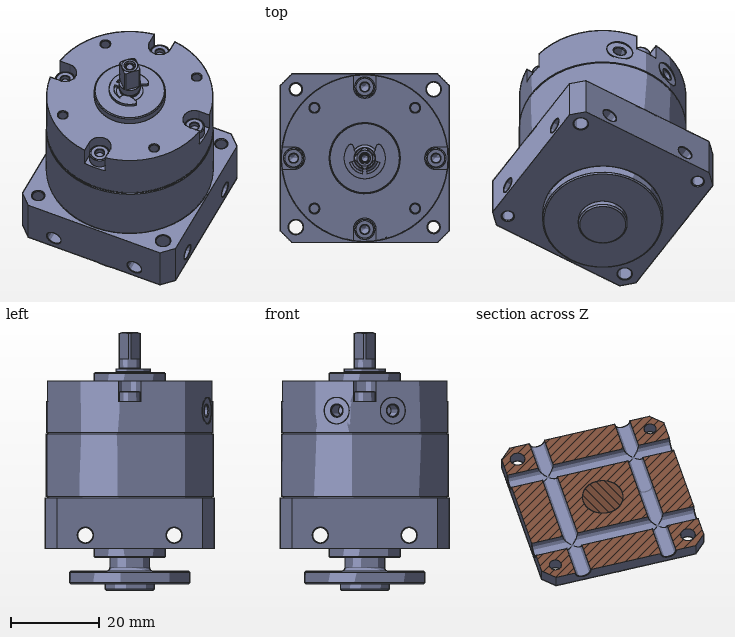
import cadquery as cq
import math

PILOT_TOP_Z = 1.5
FLANGE_TOP_Z = 4.4
LOWER_BOSS_BOTTOM_Z = 7.4
BASE_BOTTOM_Z = 9.45
BASE_TOP_Z = 20.9
BODY_BOTTOM_Z = 21.2
BODY_TOP_Z = 35.2
CAP_BOTTOM_Z = 35.55
CAP_TOP_Z = 47.15
UPPER_BOSS_TOP_Z = 49.0
CLIP_BOTTOM_Z = 49.25
CLIP_TOP_Z = 49.9
NECK_BOTTOM_Z = 50.05
SQUARE_BOTTOM_Z = 52.0
SHAFT_TOP_Z = 58.0

BASE_WIDTH = 38.0
BASE_CORNER_CHAMFER = 2.65
BODY_DIAMETER = 37.6
CAP_DIAMETER = 37.4
GROOVE_DIAMETER = 36.9
BOSS_DIAMETER = 16.0
BOSS_CHAMFER = 0.25

CORNER_HOLE_OFFSET = 15.5
CORNER_CLEARANCE_DIAMETER = 3.2
CORNER_CLEARANCE_MOUTH = 3.5
CORNER_TAPPED_DIAMETER = 2.6
CORNER_TAPPED_MOUTH = 3.0

SIDE_HOLE_OFFSET = 10.0
SIDE_HOLE_HEIGHT = 3.0
SIDE_HOLE_Z = BASE_BOTTOM_Z + SIDE_HOLE_HEIGHT
SIDE_HOLE_DIAMETER = 3.4
SIDE_HOLE_MOUTH = 3.65

CAP_HOLE_CIRCLE_RADIUS = 16.0
CAP_HOLE_DIAMETER = 2.05
CAP_HOLE_MOUTH = 2.45
CAP_HOLE_DEPTH = 5.0
CAP_HOLE_START_ANGLE = 45.0

SLOT_WIDTH = 5.1
SLOT_FLOOR_Z = 42.5
SCREW_CIRCLE_RADIUS = CAP_HOLE_CIRCLE_RADIUS
SCREW_HEAD_DIAMETER = 4.5
SCREW_HEAD_TOP_Z = 44.8
SCREW_HEAD_CHAMFER_WIDTH = 0.3
SCREW_HEAD_CHAMFER_HEIGHT = 0.1
SOCKET_DIAMETER = 2.05
SOCKET_MOUTH = 2.25
SOCKET_DEPTH = 1.15

PORT_ANGLE = 20.0
PORT_Z = 40.5
PORT_FACE_DIAMETER = 6.0
PORT_FACE_RADIUS = 18.4
PORT_DIAMETER = 2.6
PORT_MOUTH = 3.0
PORT_DEPTH = 4.75

PILOT_DIAMETER = 11.0
PILOT_CHAMFER = 0.35
FLANGE_DIAMETER = 27.0
FLANGE_CHAMFER = 0.3
JOURNAL_DIAMETER = 9.0
JOURNAL_FILLET = 0.75
UPPER_JOURNAL_DIAMETER = 6.0
CLIP_GROOVE_DIAMETER = 4.5
SHOULDER_CONE_SLOPE = 30.0
NECK_DIAMETER = 4.8
SQUARE_ACROSS_FLATS = 3.7
SQUARE_ACROSS_CORNERS = NECK_DIAMETER
SQUARE_TURN = 45.0
SQUARE_TOP_DIAMETER = 3.6
SQUARE_TOP_CONE_HEIGHT = 0.25
CENTRE_HOLE_DIAMETER = 2.05
CENTRE_HOLE_MOUTH = 2.55
CENTRE_HOLE_DEPTH = 0.45
CENTRE_TIP_DIAMETER = 1.55
DRILL_TIP_ANGLE = 118.0

CLIP_DIAMETER = 9.3
CLIP_TIP_Y = 3.15
CLIP_MOUTH_HALF_WIDTH = 1.7
CLIP_TIP_HALF_WIDTH = 2.7
CLIP_WINDOW_DIAMETER = 7.1
CLIP_TOOTH_WIDTH = 1.0
CLIP_WINDOW_TOP_ANGLE = 16.0
CLIP_TIP_FILLET = 0.6


def disc(diameter, bottom, top):
    """Cylinder about the Z axis between two heights."""
    return cq.Workplane("XY").workplane(offset=bottom).circle(diameter / 2).extrude(top - bottom)


def drill(diameter, mouth, depth, tip=False):
    """Cutter for a hole down from the origin, with a 45 degree mouth and an optional conical tip."""
    radius = diameter / 2
    mouth_radius = mouth / 2
    tip_depth = radius / math.tan(math.radians(DRILL_TIP_ANGLE / 2)) if tip else 0
    outline = cq.Workplane("XZ").lineTo(mouth_radius, 0)
    if mouth_radius > radius:
        outline = outline.lineTo(radius, radius - mouth_radius)
    outline = outline.lineTo(radius, -depth).lineTo(0, -depth - tip_depth).close()
    return outline.revolve(360, (0, 0, 0), (0, 1, 0))


def double_ended_drill(diameter, mouth, length):
    """Cutter for a through hole down from the origin, with a 45 degree mouth at both ends."""
    top_half = drill(diameter, mouth, length / 2)
    bottom_half = top_half.mirror("XY", (0, 0, -length / 2))
    return top_half.union(bottom_half)


def make_base():
    base = (
        cq.Workplane("XY").workplane(offset=BASE_BOTTOM_Z)
        .rect(BASE_WIDTH, BASE_WIDTH)
        .extrude(BASE_TOP_Z - BASE_BOTTOM_Z)
        .edges("|Z").chamfer(BASE_CORNER_CHAMFER)
    )
    thickness = BASE_TOP_Z - BASE_BOTTOM_Z
    clearance = double_ended_drill(CORNER_CLEARANCE_DIAMETER, CORNER_CLEARANCE_MOUTH, thickness)
    tapped = double_ended_drill(CORNER_TAPPED_DIAMETER, CORNER_TAPPED_MOUTH, thickness)
    for side in (-1, 1):
        offset = side * CORNER_HOLE_OFFSET
        base = base.cut(clearance.translate((offset, offset, BASE_TOP_Z)))
        base = base.cut(tapped.translate((-offset, offset, BASE_TOP_Z)))

    across = double_ended_drill(SIDE_HOLE_DIAMETER, SIDE_HOLE_MOUTH, BASE_WIDTH)
    along_y = across.rotate((0, 0, 0), (1, 0, 0), 90).translate((0, -BASE_WIDTH / 2, SIDE_HOLE_Z))
    for side in (-1, 1):
        hole = along_y.translate((side * SIDE_HOLE_OFFSET, 0, 0))
        base = base.cut(hole)
        base = base.cut(hole.rotate((0, 0, 0), (0, 0, 1), -90))
    return base


def cut_tapped_holes(cap):
    hole = drill(CAP_HOLE_DIAMETER, CAP_HOLE_MOUTH, CAP_HOLE_DEPTH)
    hole = hole.translate((CAP_HOLE_CIRCLE_RADIUS, 0, CAP_TOP_Z))
    for quarter in range(4):
        cap = cap.cut(hole.rotate((0, 0, 0), (0, 0, 1), CAP_HOLE_START_ANGLE + 90 * quarter))
    return cap


def make_screw_slot():
    """Round-ended slot, open at the rim of the cap, on the +X side."""
    depth = CAP_TOP_Z - SLOT_FLOOR_Z
    floor = cq.Workplane("XY").workplane(offset=SLOT_FLOOR_Z)
    round_end = floor.center(SCREW_CIRCLE_RADIUS, 0).circle(SLOT_WIDTH / 2).extrude(depth)
    length = CAP_DIAMETER / 2 - SCREW_CIRCLE_RADIUS + SLOT_WIDTH
    opening = floor.center(SCREW_CIRCLE_RADIUS + length / 2, 0).rect(length, SLOT_WIDTH).extrude(depth)
    return round_end.union(opening)


def make_screw_head():
    head = disc(SCREW_HEAD_DIAMETER, SLOT_FLOOR_Z, SCREW_HEAD_TOP_Z)
    head = head.faces(">Z").edges().chamfer(SCREW_HEAD_CHAMFER_HEIGHT, SCREW_HEAD_CHAMFER_WIDTH)
    socket = drill(SOCKET_DIAMETER, SOCKET_MOUTH, SOCKET_DEPTH, tip=True)
    head = head.cut(socket.translate((0, 0, SCREW_HEAD_TOP_Z)))
    return head.translate((SCREW_CIRCLE_RADIUS, 0, 0))


def add_screws(cap):
    slot = make_screw_slot()
    head = make_screw_head()
    for quarter in range(4):
        turn = 90 * quarter
        cap = cap.cut(slot.rotate((0, 0, 0), (0, 0, 1), turn))
        cap = cap.union(head.rotate((0, 0, 0), (0, 0, 1), turn))
    return cap


def cut_ports(cap):
    """Radial ports with flat faces, one to each side of the -Y direction."""
    face = cq.Workplane("XY").circle(PORT_FACE_DIAMETER / 2).extrude(CAP_DIAMETER / 2 - PORT_FACE_RADIUS)
    port = face.union(drill(PORT_DIAMETER, PORT_MOUTH, PORT_DEPTH))
    port = port.rotate((0, 0, 0), (1, 0, 0), 90).translate((0, -PORT_FACE_RADIUS, PORT_Z))
    for angle in (-PORT_ANGLE, PORT_ANGLE):
        cap = cap.cut(port.rotate((0, 0, 0), (0, 0, 1), angle))
    return cap


def make_cap():
    cap = disc(CAP_DIAMETER, CAP_BOTTOM_Z, CAP_TOP_Z)
    return cut_ports(add_screws(cut_tapped_holes(cap)))


def make_housing():
    lower_boss = disc(BOSS_DIAMETER, LOWER_BOSS_BOTTOM_Z, BASE_BOTTOM_Z)
    lower_boss = lower_boss.faces("<Z").edges().chamfer(BOSS_CHAMFER)
    upper_boss = disc(BOSS_DIAMETER, CAP_TOP_Z, UPPER_BOSS_TOP_Z)
    upper_boss = upper_boss.faces(">Z").edges().chamfer(BOSS_CHAMFER)
    housing = (
        make_base()
        .union(disc(GROOVE_DIAMETER, BASE_TOP_Z, CAP_BOTTOM_Z))
        .union(disc(BODY_DIAMETER, BODY_BOTTOM_Z, BODY_TOP_Z))
        .union(make_cap())
        .union(lower_boss)
        .union(upper_boss)
    )
    lower_bore = disc(JOURNAL_DIAMETER, LOWER_BOSS_BOTTOM_Z, BASE_TOP_Z)
    upper_bore = disc(UPPER_JOURNAL_DIAMETER, BASE_TOP_Z, UPPER_BOSS_TOP_Z)
    return housing.cut(lower_bore).cut(upper_bore)


def make_drive_square():
    """Square end turned 45 degrees, its corners turned down to a cylinder with a shallow cone on top."""
    height = SHAFT_TOP_Z - SQUARE_BOTTOM_Z
    corner_radius = SQUARE_ACROSS_CORNERS / 2
    envelope = (
        cq.Workplane("XZ").moveTo(0, SQUARE_BOTTOM_Z)
        .lineTo(corner_radius, SQUARE_BOTTOM_Z)
        .lineTo(corner_radius, SHAFT_TOP_Z - SQUARE_TOP_CONE_HEIGHT)
        .lineTo(SQUARE_TOP_DIAMETER / 2, SHAFT_TOP_Z)
        .lineTo(0, SHAFT_TOP_Z)
        .close()
        .revolve(360, (0, 0, 0), (0, 1, 0))
    )
    square = (
        cq.Workplane("XY").workplane(offset=SQUARE_BOTTOM_Z)
        .rect(SQUARE_ACROSS_FLATS, SQUARE_ACROSS_FLATS).extrude(height)
        .rotate((0, 0, 0), (0, 0, 1), SQUARE_TURN)
        .intersect(envelope)
    )
    point = drill(CENTRE_TIP_DIAMETER, CENTRE_TIP_DIAMETER, CENTRE_HOLE_DEPTH, tip=True)
    hole = drill(CENTRE_HOLE_DIAMETER, CENTRE_HOLE_MOUTH, CENTRE_HOLE_DEPTH).union(point)
    return square.cut(hole.translate((0, 0, SHAFT_TOP_Z)))


def make_clip():
    """E-shaped retaining clip, open toward +Y."""
    thickness = CLIP_TOP_Z - CLIP_BOTTOM_Z
    plane = cq.Workplane("XY").workplane(offset=CLIP_BOTTOM_Z)
    mouth = (
        plane.moveTo(-CLIP_MOUTH_HALF_WIDTH, 0)
        .lineTo(-CLIP_TIP_HALF_WIDTH, CLIP_TIP_Y)
        .lineTo(-CLIP_DIAMETER, CLIP_TIP_Y)
        .lineTo(-CLIP_DIAMETER, CLIP_DIAMETER)
        .lineTo(CLIP_DIAMETER, CLIP_DIAMETER)
        .lineTo(CLIP_DIAMETER, CLIP_TIP_Y)
        .lineTo(CLIP_TIP_HALF_WIDTH, CLIP_TIP_Y)
        .lineTo(CLIP_MOUTH_HALF_WIDTH, 0)
        .close().extrude(thickness)
    )
    clip = disc(CLIP_DIAMETER, CLIP_BOTTOM_Z, CLIP_TOP_Z).cut(mouth)
    clip = clip.edges("|Z").edges(">Y").fillet(CLIP_TIP_FILLET)

    window_radius = CLIP_WINDOW_DIAMETER / 2
    top_corner_drop = window_radius * math.tan(math.radians(CLIP_WINDOW_TOP_ANGLE))
    wedge = (
        plane.moveTo(CLIP_TOOTH_WIDTH / 2, 0)
        .lineTo(window_radius, -top_corner_drop)
        .lineTo(window_radius, -window_radius)
        .lineTo(CLIP_TOOTH_WIDTH / 2, -window_radius)
        .close().extrude(thickness)
    )
    window = wedge.intersect(disc(CLIP_WINDOW_DIAMETER, CLIP_BOTTOM_Z, CLIP_TOP_Z))
    return clip.cut(window).cut(window.mirror("YZ"))


def make_shaft():
    pilot = disc(PILOT_DIAMETER, 0, PILOT_TOP_Z).faces("<Z").edges().chamfer(PILOT_CHAMFER)
    flange = disc(FLANGE_DIAMETER, PILOT_TOP_Z, FLANGE_TOP_Z).edges().chamfer(FLANGE_CHAMFER)
    journal_radius = JOURNAL_DIAMETER / 2
    foot_radius = journal_radius + JOURNAL_FILLET
    collar_radius = UPPER_JOURNAL_DIAMETER / 2
    groove_radius = CLIP_GROOVE_DIAMETER / 2
    neck_radius = NECK_DIAMETER / 2
    cone_height = (collar_radius - groove_radius) * math.tan(math.radians(SHOULDER_CONE_SLOPE))
    stem = (
        cq.Workplane("XZ").moveTo(0, FLANGE_TOP_Z)
        .lineTo(foot_radius, FLANGE_TOP_Z)
        .radiusArc((journal_radius, FLANGE_TOP_Z + JOURNAL_FILLET), JOURNAL_FILLET)
        .lineTo(journal_radius, BASE_TOP_Z)
        .lineTo(collar_radius, BASE_TOP_Z)
        .lineTo(collar_radius, UPPER_BOSS_TOP_Z)
        .lineTo(groove_radius, UPPER_BOSS_TOP_Z + cone_height)
        .lineTo(groove_radius, NECK_BOTTOM_Z)
        .lineTo(neck_radius, NECK_BOTTOM_Z)
        .lineTo(neck_radius, SQUARE_BOTTOM_Z)
        .lineTo(0, SQUARE_BOTTOM_Z)
        .close()
        .revolve(360, (0, 0, 0), (0, 1, 0))
    )
    return pilot.union(flange).union(stem).union(make_drive_square()).union(make_clip())


housing = make_housing()
shaft = make_shaft()

result = cq.Compound.makeCompound([housing.solids().val(), shaft.solids().val()])